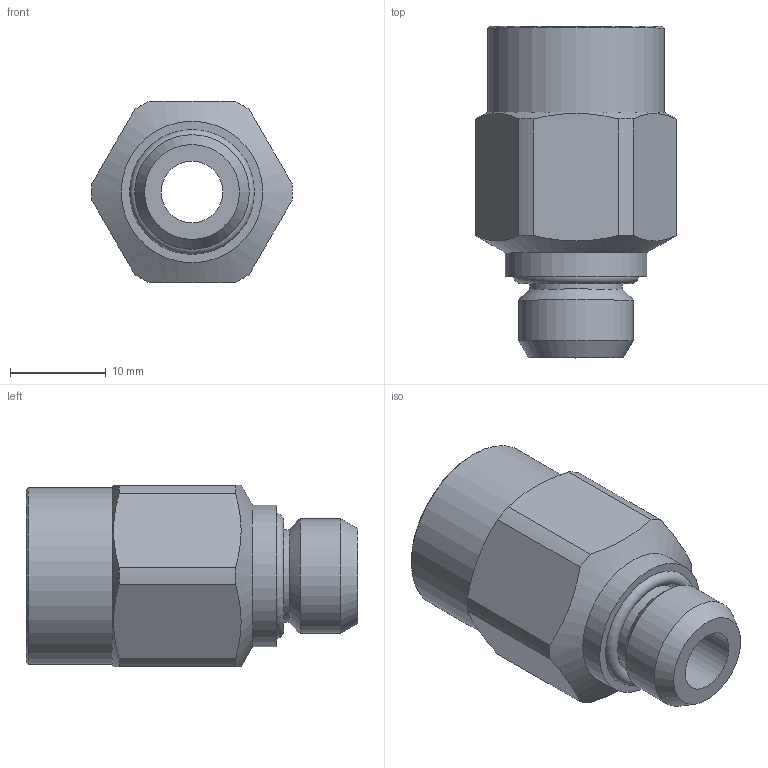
import cadquery as cq
import math


HEX_SIDES = 6
HEX_ACROSS_FLATS = 19.0
HEX_CORNER_DIA = 21.0
CONE_SLOPE = math.tan(math.radians(30))

TOTAL_LENGTH = 34.7
SPIGOT_LENGTH = 8.5
COLLAR_LENGTH = 2.5
SLEEVE_LENGTH = 9.0
TIP_CHAMFER_LENGTH = 1.8
NECK_LENGTH = 1.3

SLEEVE_DIA = 18.5
COLLAR_DIA = 14.8
SPIGOT_DIA = 12.0
NECK_DIA = 9.7
BORE_DIA = 6.45

SLEEVE_CHAMFER = 0.2

RING_INNER_DIA = 10.15
RING_TUBE_DIA = 1.45

tip_y = -SPIGOT_LENGTH
end_y = tip_y + TOTAL_LENGTH
sleeve_y = end_y - SLEEVE_LENGTH
front_cone_length = (HEX_CORNER_DIA - COLLAR_DIA) / 2 * CONE_SLOPE
rear_cone_length = (HEX_CORNER_DIA - SLEEVE_DIA) / 2 * CONE_SLOPE
neck_taper_length = (SPIGOT_DIA - NECK_DIA) / 2
tip_radius = SPIGOT_DIA / 2 - TIP_CHAMFER_LENGTH * CONE_SLOPE


def turned_body():
    """Outer shape of the fitting before the hexagon flats are cut."""
    return (
        cq.Workplane("XY")
        .moveTo(0, tip_y)
        .lineTo(tip_radius, tip_y)
        .lineTo(SPIGOT_DIA / 2, tip_y + TIP_CHAMFER_LENGTH)
        .lineTo(SPIGOT_DIA / 2, -NECK_LENGTH - neck_taper_length)
        .lineTo(NECK_DIA / 2, -NECK_LENGTH)
        .lineTo(NECK_DIA / 2, 0)
        .lineTo(COLLAR_DIA / 2, 0)
        .lineTo(COLLAR_DIA / 2, COLLAR_LENGTH)
        .lineTo(HEX_CORNER_DIA / 2, COLLAR_LENGTH + front_cone_length)
        .lineTo(HEX_CORNER_DIA / 2, sleeve_y - rear_cone_length)
        .lineTo(SLEEVE_DIA / 2, sleeve_y)
        .lineTo(SLEEVE_DIA / 2, end_y - SLEEVE_CHAMFER)
        .lineTo(SLEEVE_DIA / 2 - SLEEVE_CHAMFER, end_y)
        .lineTo(0, end_y)
        .close()
        .revolve(360, (0, 0, 0), (0, 1, 0))
    )


def hexagon_envelope():
    """Hexagonal bar over the full length, with two flats facing +Z and -Z."""
    across_corners = HEX_ACROSS_FLATS / math.cos(math.pi / HEX_SIDES)
    return (
        cq.Workplane("XZ", origin=(0, end_y, 0))
        .polygon(HEX_SIDES, across_corners)
        .extrude(TOTAL_LENGTH)
    )


def sealing_ring():
    """Torus around the Y axis, centred on the collar face."""
    ring_radius = (RING_INNER_DIA + RING_TUBE_DIA) / 2
    return (
        cq.Workplane("XY")
        .center(ring_radius, 0)
        .circle(RING_TUBE_DIA / 2)
        .revolve(360, (-ring_radius, 0, 0), (-ring_radius, 1, 0))
    )


def through_bore():
    """Plain bore over the full length."""
    return (
        cq.Workplane("XZ", origin=(0, end_y, 0))
        .circle(BORE_DIA / 2)
        .extrude(TOTAL_LENGTH)
    )


result = (
    turned_body()
    .intersect(hexagon_envelope())
    .union(sealing_ring())
    .cut(through_bore())
)